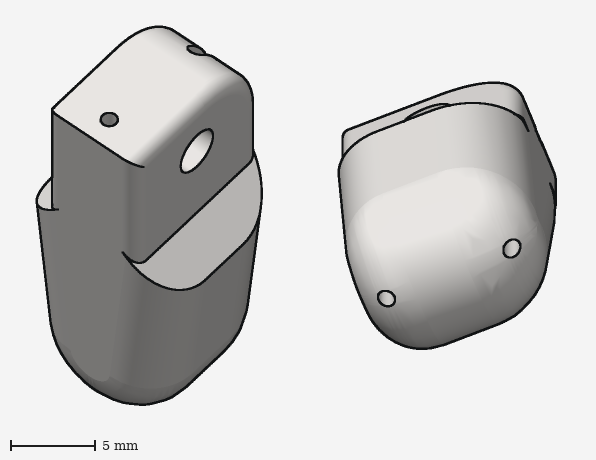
import cadquery as cq
import math

height = 26.65
depth = 11.5
width = 11.92
shoulder_half_width = width / 2
shoulder_height = 14.35

nose_radius = 5.0
front_fillet = 3.5
back_fillet = 4.5

block_width = 6.98
block_edge_fillet = 0.99
block_corner_radius = 5.0

roof_height = 17.62
roof_half_width = block_width / 2 - block_edge_fillet

cross_hole_diameter = 2.99
cross_hole_height = 22.63
cross_hole_y = -0.08
cord_hole_diameter = 1.0
cord_hole_offset = 4.0
slot_floor_height = height - block_corner_radius


def extrude_through_depth(outline):
    """Extrude an XZ outline symmetrically over the full depth."""
    return outline.extrude(depth / 2, both=True)


def make_body():
    """Round-nosed wedge whose sides are tangent to the nose arc."""
    rise = shoulder_height - nose_radius
    reach = math.hypot(shoulder_half_width, rise)
    tangent_angle = math.atan2(rise, shoulder_half_width) - math.acos(nose_radius / reach)
    tangent_x = nose_radius * math.cos(tangent_angle)
    tangent_z = nose_radius * (1 + math.sin(tangent_angle))

    taper = (shoulder_half_width - tangent_x) / (shoulder_height - tangent_z)
    top_half_width = shoulder_half_width + taper * (roof_height - shoulder_height)
    body = extrude_through_depth(
        cq.Workplane("XZ")
        .moveTo(-top_half_width, roof_height)
        .lineTo(-tangent_x, tangent_z)
        .threePointArc((0, 0), (tangent_x, tangent_z))
        .lineTo(top_half_width, roof_height)
        .close()
    )
    body = body.faces("<Y").edges("not >Z").fillet(front_fillet)
    body = body.faces(">Y").edges("not >Z").fillet(back_fillet)
    return body.intersect(make_below_shoulders())


def make_below_shoulders():
    """Space below the sloped shoulders and the flat roof strip."""
    return extrude_through_depth(
        cq.Workplane("XZ").polyline([
            (-shoulder_half_width, shoulder_height),
            (-roof_half_width, roof_height),
            (roof_half_width, roof_height),
            (shoulder_half_width, shoulder_height),
            (shoulder_half_width, 0),
            (-shoulder_half_width, 0),
        ]).close()
    )


def make_block():
    """Upright block with a rounded back corner and rounded side outlines."""
    block = cq.Workplane("XY").box(block_width, depth, height, centered=(True, True, False))
    block = block.edges(">Y and >Z").fillet(block_corner_radius)
    block = block.faces("<X or >X").edges("not <Z").fillet(block_edge_fillet)
    return block.cut(make_below_shoulders())


def cut_holes(part):
    """Cross hole, two vertical cord holes and the slot behind the back one."""
    cross_hole = (
        cq.Workplane("YZ")
        .center(cross_hole_y, cross_hole_height)
        .circle(cross_hole_diameter / 2)
        .extrude(block_width, both=True)
    )
    part = part.cut(cross_hole)
    for y in (-cord_hole_offset, cord_hole_offset):
        part = part.cut(
            cq.Workplane("XY").center(0, y).circle(cord_hole_diameter / 2).extrude(height)
        )
    slot_length = depth / 2 - cord_hole_offset
    slot = (
        cq.Workplane("XY", origin=(0, cord_hole_offset + slot_length / 2, slot_floor_height))
        .rect(cord_hole_diameter, slot_length)
        .extrude(height - slot_floor_height)
    )
    return part.cut(slot)


result = cut_holes(make_body().union(make_block()))